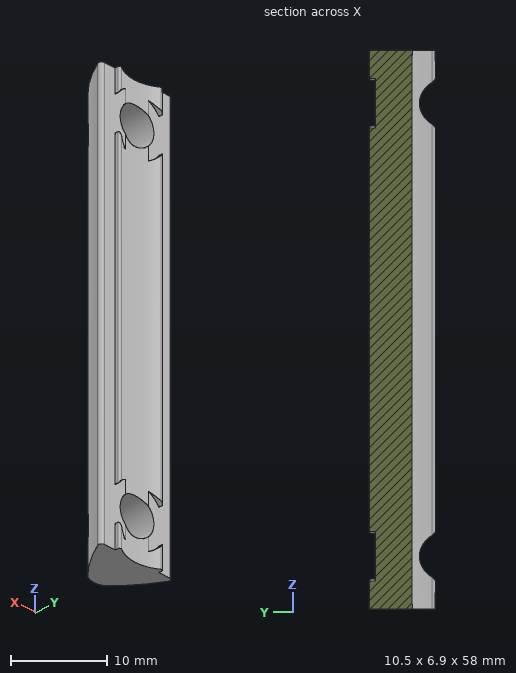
import cadquery as cq
import math

length = 58.0
width = 10.5
depth = 6.9

shelf_y = 6.25
corner_radius = 0.4
corner_end_angle = math.radians(-32)
nose_half_width = 1.3
nose_height = 0.35
flank_bulge = 0.26
rail_outer_x = 3.25
rail_tip_radius = 0.25
rail_tip_end_angle = math.radians(60)
groove_floor_y = 6.0

hole_diameter = 5.0
counterbore_diameter = 8.0
hole_end_distance = 5.5


def point_on_circle(center, radius, angle):
    return (center[0] + radius * math.cos(angle), center[1] + radius * math.sin(angle))


def mirrored(point):
    return (-point[0], point[1])


def bulged_midpoint(start, end, bulge):
    """Middle of an arc that bulges to the right of the path from start to end."""
    dx = end[0] - start[0]
    dy = end[1] - start[1]
    chord = math.hypot(dx, dy)
    mid_x = (start[0] + end[0]) / 2
    mid_y = (start[1] + end[1]) / 2
    return (mid_x + bulge * dy / chord, mid_y - bulge * dx / chord)


def make_bar():
    corner_center = (width / 2 - corner_radius, shelf_y - corner_radius)
    corner_start = point_on_circle(corner_center, corner_radius, corner_end_angle)
    corner_middle = point_on_circle(corner_center, corner_radius, math.radians(30))
    corner_end = (corner_center[0], shelf_y)

    tip_center = (rail_outer_x - rail_tip_radius, depth - rail_tip_radius)
    tip_start = (rail_outer_x, tip_center[1])
    tip_middle = (tip_center[0], depth)
    tip_end = point_on_circle(tip_center, rail_tip_radius, math.pi - rail_tip_end_angle)

    nose_end = (nose_half_width, nose_height)
    flank_middle = bulged_midpoint(nose_end, corner_start, flank_bulge)

    profile = (
        cq.Workplane("XY")
        .moveTo(*mirrored(nose_end))
        .threePointArc((0, 0), nose_end)
        .threePointArc(flank_middle, corner_start)
        .threePointArc(corner_middle, corner_end)
        .lineTo(rail_outer_x, shelf_y)
        .lineTo(*tip_start)
        .threePointArc(tip_middle, tip_end)
        .threePointArc((0, groove_floor_y), mirrored(tip_end))
        .threePointArc(mirrored(tip_middle), mirrored(tip_start))
        .lineTo(-rail_outer_x, shelf_y)
        .lineTo(*mirrored(corner_end))
        .threePointArc(mirrored(corner_middle), mirrored(corner_start))
        .threePointArc(mirrored(flank_middle), mirrored(nose_end))
        .close()
    )
    return profile.extrude(length)


def cylinder_along_y(diameter, start_y, end_y, z):
    base = cq.Vector(0, start_y, z)
    return cq.Solid.makeCylinder(diameter / 2, end_y - start_y, base, cq.Vector(0, 1, 0))


result = make_bar()
for hole_z in (hole_end_distance, length - hole_end_distance):
    result = result.cut(cylinder_along_y(hole_diameter, 0, depth, hole_z))
    result = result.cut(cylinder_along_y(counterbore_diameter, shelf_y, depth, hole_z))